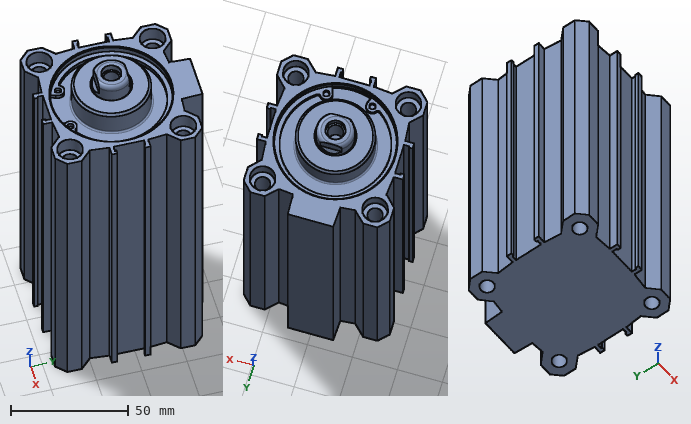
import cadquery as cq
import math

TOTAL_HEIGHT = 153.0
BODY_WIDTH = 65.0
TOTAL_DEPTH = 70.0
BODY_HEIGHT = 139.1
HALF_WIDTH = BODY_WIDTH / 2
PORT_BLOCK_REACH = TOTAL_DEPTH - HALF_WIDTH

CORNER_CHAMFER = 4.3
CORNER_FOOT = 21.9
WALL_START = 17.0
WALL_EDGE = 27.7
WALL_MIDDLE = 28.5
PORT_TIP_WIDTH = 20.2
PORT_ROOT_WIDTH = 21.1

RAIL_OUTER = 8.5
RAIL_REACH = 32.5
RAIL_STEM = 1.8
RAIL_HOOK = 2.5
RAIL_HOOK_HEIGHT = 1.7

HOLE_PITCH = 50.0
HOLE_DIAMETER = 6.6
COUNTERBORE_DIAMETER = 11.0
COUNTERBORE_DEPTH = 7.0

RING_TOP_RECESS = 3.0
BORE_DIAMETER = 52.2
BORE_CHAMFER = 0.5
RING_DIAMETER = 55.2
RING_TOP = BODY_HEIGHT - RING_TOP_RECESS
RING_THICKNESS = 1.8
RING_BOTTOM = RING_TOP - RING_THICKNESS
RING_INNER_DIAMETER = 47.7

EAR_X = 10.3
EAR_Y = -20.8
EAR_RADIUS = 2.8
EAR_HOLE_DIAMETER = 2.8
EAR_BLEND_RADIUS = 1.2

COVER_DIAMETER = 51.9
COVER_THICKNESS = 10.0
COVER_BOTTOM = RING_BOTTOM - COVER_THICKNESS
BOSS_RISE = 6.5
BOSS_TOP = BODY_HEIGHT + BOSS_RISE
BOSS_DIAMETER = 34.1
BOSS_CHAMFER = 1.0
BOSS_FOOT_RADIUS = 0.8
ROD_RECESS_DIAMETER = 18.0
ROD_RECESS_CHAMFER = 0.3
ROD_RECESS_DEPTH = 1.5

ROD_DIAMETER = 16.5
ROD_END_RADIUS = 2.0
FLAT_WIDTH = 13.5
FLAT_HEIGHT = 5.7
ROD_HOLE_DIAMETER = 6.7
ROD_HOLE_MOUTH = 8.5
ROD_HOLE_MOUTH_DEPTH = 3.0
ROD_HOLE_DEPTH = 15.0
DRILL_TIP_ANGLE = 160


def disc(diameter, bottom, top):
    """Upright cylinder on the Z axis between two heights."""
    return cq.Workplane("XY").workplane(offset=bottom).circle(diameter / 2).extrude(top - bottom)


def turned(points, quarter_turns):
    """Points rotated about the origin by quarter turns."""
    for _ in range(quarter_turns):
        points = [(-y, x) for x, y in points]
    return points


def make_profile():
    """Square extrusion with four octagonal corner posts and slightly sloped walls."""
    side = [
        (-(HALF_WIDTH - CORNER_CHAMFER), -HALF_WIDTH),
        (-CORNER_FOOT, -HALF_WIDTH),
        (-WALL_START, -WALL_EDGE),
        (-RAIL_OUTER, -WALL_MIDDLE),
    ]
    side += [(-x, y) for x, y in reversed(side)]
    outline = []
    for quarter in range(4):
        outline += turned(side, quarter)
    return cq.Workplane("XY").polyline(outline).close().extrude(BODY_HEIGHT)


def make_rail_pair():
    """Two rails on the -Y side, with hooks pointing at each other."""
    hook_y = -RAIL_REACH + RAIL_HOOK_HEIGHT
    outline = [
        (RAIL_OUTER, -WALL_EDGE),
        (RAIL_OUTER, -RAIL_REACH),
        (RAIL_OUTER - RAIL_HOOK, -RAIL_REACH),
        (RAIL_OUTER - RAIL_HOOK, hook_y),
        (RAIL_OUTER - RAIL_STEM, hook_y),
        (RAIL_OUTER - RAIL_STEM, -WALL_EDGE),
    ]
    rail = cq.Workplane("XY").polyline(outline).close().extrude(BODY_HEIGHT)
    return rail.union(rail.mirror("YZ"))


def make_port_block():
    """Block along the +Y side, slightly wider at the wall."""
    outline = [
        (-PORT_ROOT_WIDTH / 2, WALL_EDGE),
        (PORT_ROOT_WIDTH / 2, WALL_EDGE),
        (PORT_TIP_WIDTH / 2, PORT_BLOCK_REACH),
        (-PORT_TIP_WIDTH / 2, PORT_BLOCK_REACH),
    ]
    return cq.Workplane("XY").polyline(outline).close().extrude(BODY_HEIGHT)


def make_body():
    """Cylinder body with its rails, port block, mounting holes and stepped bore."""
    body = make_profile().union(make_port_block())
    rail_pair = make_rail_pair()
    for angle in (-90, 0, 90):
        body = body.union(rail_pair.rotate((0, 0, 0), (0, 0, 1), angle))
    body = (
        body.faces(">Z")
        .workplane(origin=(0, 0, BODY_HEIGHT))
        .rect(HOLE_PITCH, HOLE_PITCH, forConstruction=True)
        .vertices()
        .cboreHole(HOLE_DIAMETER, COUNTERBORE_DIAMETER, COUNTERBORE_DEPTH)
    )
    bore = disc(BORE_DIAMETER, COVER_BOTTOM, BODY_HEIGHT)
    bore_rim = BORE_DIAMETER / 2 + BORE_CHAMFER
    rim_cone = cq.Solid.makeCone(
        BORE_DIAMETER / 2, bore_rim, BORE_CHAMFER, pnt=cq.Vector(0, 0, BODY_HEIGHT - BORE_CHAMFER)
    )
    groove = disc(RING_DIAMETER, RING_BOTTOM, RING_TOP)
    return body.cut(bore).cut(rim_cone).cut(groove)


def make_retaining_ring():
    """Open ring with an eared end on each side of the gap."""
    ears = [(-EAR_X, EAR_Y), (EAR_X, EAR_Y)]
    ear_tilt = math.atan2(EAR_X, -EAR_Y)
    gap_half_angle = ear_tilt - math.asin(EAR_RADIUS / math.hypot(EAR_X, EAR_Y))
    gap_half_width = HALF_WIDTH * math.tan(gap_half_angle)
    gap_outline = [(0, 0), (gap_half_width, -HALF_WIDTH), (-gap_half_width, -HALF_WIDTH)]

    level = cq.Workplane("XY").workplane(offset=RING_BOTTOM)
    ring = level.circle(RING_DIAMETER / 2).circle(RING_INNER_DIAMETER / 2).extrude(RING_THICKNESS)
    ring = ring.union(level.pushPoints(ears).circle(EAR_RADIUS).extrude(RING_THICKNESS))
    for ear_x, ear_y in ears:
        outer_x = ear_x + math.copysign(2 * EAR_RADIUS, ear_x)
        notch = cq.selectors.BoxSelector(
            (ear_x, ear_y - EAR_RADIUS, RING_BOTTOM), (outer_x, ear_y + EAR_RADIUS, RING_TOP)
        )
        ring = ring.edges("|Z").edges(notch).fillet(EAR_BLEND_RADIUS)
    ring = ring.cut(level.polyline(gap_outline).close().extrude(RING_THICKNESS))
    return ring.cut(level.pushPoints(ears).circle(EAR_HOLE_DIAMETER / 2).extrude(RING_THICKNESS))


def make_cover():
    """Rod cover: a flange in the bore with a chamfered, filleted boss around the rod."""
    rod_radius = ROD_DIAMETER / 2
    boss_radius = BOSS_DIAMETER / 2
    recess_mouth = ROD_RECESS_DIAMETER / 2
    recess_radius = recess_mouth - ROD_RECESS_CHAMFER
    recess_bottom = BOSS_TOP - ROD_RECESS_DEPTH
    foot_center = (boss_radius + BOSS_FOOT_RADIUS, RING_BOTTOM + BOSS_FOOT_RADIUS)
    foot_middle = BOSS_FOOT_RADIUS * math.sqrt(0.5)
    section = (
        cq.Workplane("XZ")
        .moveTo(rod_radius, COVER_BOTTOM)
        .lineTo(COVER_DIAMETER / 2, COVER_BOTTOM)
        .lineTo(COVER_DIAMETER / 2, RING_BOTTOM)
        .lineTo(foot_center[0], RING_BOTTOM)
        .threePointArc(
            (foot_center[0] - foot_middle, foot_center[1] - foot_middle),
            (boss_radius, foot_center[1]),
        )
        .lineTo(boss_radius, BOSS_TOP - BOSS_CHAMFER)
        .lineTo(boss_radius - BOSS_CHAMFER, BOSS_TOP)
        .lineTo(recess_mouth, BOSS_TOP)
        .lineTo(recess_radius, BOSS_TOP - ROD_RECESS_CHAMFER)
        .lineTo(recess_radius, recess_bottom)
        .lineTo(rod_radius, recess_bottom)
        .close()
    )
    return section.revolve(360, (0, 0, 0), (0, 1, 0))


def make_rod():
    """Rod with a rounded end, two wrench flats and a drilled hole."""
    rod = disc(ROD_DIAMETER, COVER_BOTTOM, TOTAL_HEIGHT).faces(">Z").edges().fillet(ROD_END_RADIUS)
    flat_bottom = TOTAL_HEIGHT - FLAT_HEIGHT
    radius = ROD_DIAMETER / 2
    flat_depth = radius - FLAT_WIDTH / 2
    flat_outline = [
        (FLAT_WIDTH / 2, TOTAL_HEIGHT),
        (FLAT_WIDTH / 2, flat_bottom),
        (radius, flat_bottom - flat_depth),
        (radius, TOTAL_HEIGHT),
    ]
    flat = cq.Workplane("YZ").polyline(flat_outline).close().extrude(radius, both=True)
    rod = rod.cut(flat).cut(flat.mirror("XZ"))
    hole_radius = ROD_HOLE_DIAMETER / 2
    mouth_radius = ROD_HOLE_MOUTH / 2
    hole_bottom = TOTAL_HEIGHT - ROD_HOLE_DEPTH
    tip_depth = hole_radius / math.tan(math.radians(DRILL_TIP_ANGLE / 2))
    hole_outline = [
        (0, TOTAL_HEIGHT),
        (mouth_radius, TOTAL_HEIGHT),
        (mouth_radius, TOTAL_HEIGHT - ROD_HOLE_MOUTH_DEPTH),
        (hole_radius, TOTAL_HEIGHT - ROD_HOLE_MOUTH_DEPTH),
        (hole_radius, hole_bottom),
        (0, hole_bottom - tip_depth),
    ]
    hole = cq.Workplane("XZ").polyline(hole_outline).close().revolve(360, (0, 0, 0), (0, 1, 0))
    return rod.cut(hole)


body = make_body()
retaining_ring = make_retaining_ring()
cover = make_cover()
rod = make_rod()

result = cq.Compound.makeCompound([body.val(), retaining_ring.val(), cover.val(), rod.val()])